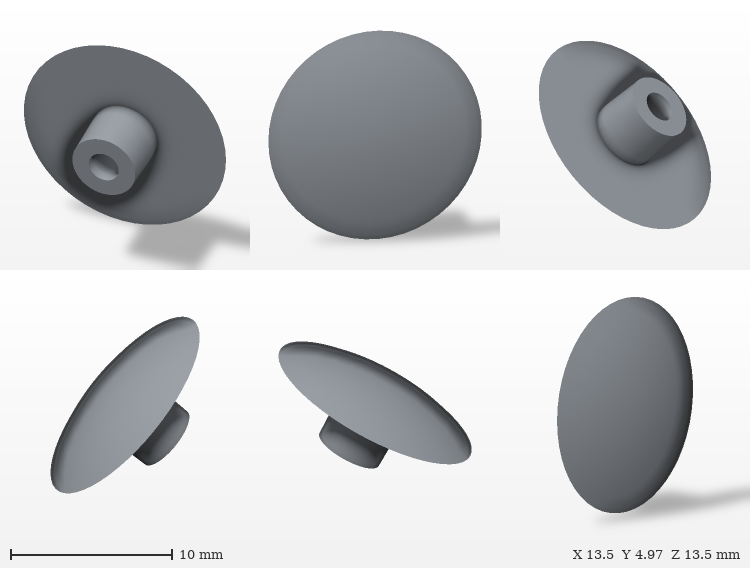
import cadquery as cq
import math

cap_diameter = 13.5
dome_height = 1.47

stem_length = 3.5
stem_base_diameter = 4.39
stem_tip_diameter = 4.2

bore_diameter = 2.0
bore_depth = stem_length


def make_cap():
    """Spherical cap: flat face on the XZ plane, crown on +Y."""
    cap_radius = cap_diameter / 2
    sphere_radius = (cap_radius**2 + dome_height**2) / (2 * dome_height)
    arc_mid_x = cap_radius / 2
    sphere_center_y = dome_height - sphere_radius
    arc_mid_y = sphere_center_y + math.sqrt(sphere_radius**2 - arc_mid_x**2)
    return (
        cq.Workplane("XY")
        .lineTo(cap_radius, 0)
        .threePointArc((arc_mid_x, arc_mid_y), (0, dome_height))
        .close()
        .revolve(360, (0, 0, 0), (0, 1, 0))
    )


def make_stem():
    """Cone frustum that narrows slightly toward its tip."""
    return (
        cq.Workplane("XY")
        .lineTo(stem_base_diameter / 2, 0)
        .lineTo(stem_tip_diameter / 2, -stem_length)
        .lineTo(0, -stem_length)
        .close()
        .revolve(360, (0, 0, 0), (0, 1, 0))
    )


def make_bore():
    """Cylinder removed along the stem axis, starting at the tip."""
    return (
        cq.Workplane("XZ", origin=(0, -stem_length, 0))
        .circle(bore_diameter / 2)
        .extrude(-bore_depth)
    )


result = make_cap().union(make_stem()).cut(make_bore())